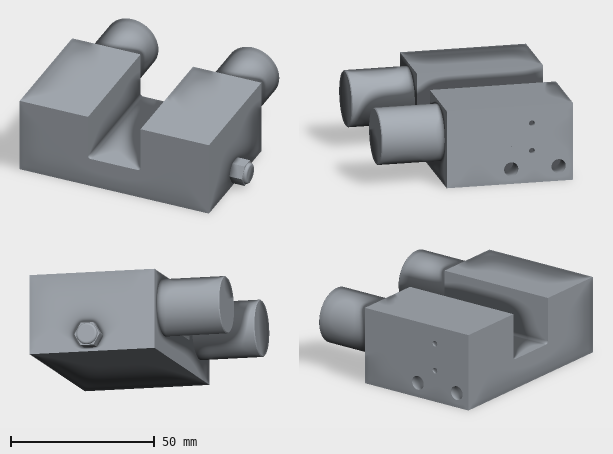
import cadquery as cq
import math

TOTAL_LENGTH = 78.0
TOTAL_DEPTH = 67.5

HOUSING_LENGTH = 72.0
HOUSING_DEPTH = 45.0
HOUSING_HEIGHT = 28.0
SLOT_WIDTH = 20.0
SLOT_FLOOR_Z = 11.0
SLOT_FILLET = 1.0
LEG_WIDTH = (HOUSING_LENGTH - SLOT_WIDTH) / 2

BARREL_DIAMETER = 20.0
BARREL_LENGTH = TOTAL_DEPTH - HOUSING_DEPTH
BARREL_CHAMFER = 0.3
BARREL_X_POSITIONS = (LEG_WIDTH / 2, HOUSING_LENGTH - LEG_WIDTH / 2)
AXIS_Z = 16.5

COVER_DIAMETER = 16.0
COVER_THICKNESS = 2.0
COVER_Y = 14.6
SPANNER_HOLE_DIAMETER = 2.0
SPANNER_HOLE_SPACING = 10.0

PORT_DIAMETER = 5.1
PORT_DEPTH = 7.8
PORT_Z = 5.3
FRONT_PORT_Y = 5.1
REAR_PORT_Y = 22.0

NUT_ACROSS_FLATS = 7.95
NUT_ACROSS_CORNERS = NUT_ACROSS_FLATS / math.cos(math.radians(30))
NUT_THICKNESS = 4.8
NUT_CHAMFER_HEIGHT = 0.15
NUT_SEAT_DIAMETER = 8.2
END_PIECE_DIAMETER = 7.5
END_PIECE_LENGTH = TOTAL_LENGTH - HOUSING_LENGTH - NUT_THICKNESS
END_PIECE_FILLET = 0.8


def x_cylinder(diameter, length, x, y, z):
    """Cylinder along +X that starts at the given point."""
    return cq.Workplane("YZ", origin=(x, y, z)).circle(diameter / 2).extrude(length)


def make_housing():
    block = cq.Workplane("XY").box(HOUSING_LENGTH, HOUSING_DEPTH, HOUSING_HEIGHT, centered=False)
    slot = (
        cq.Workplane("XY", origin=(LEG_WIDTH, 0, SLOT_FLOOR_Z))
        .box(SLOT_WIDTH, HOUSING_DEPTH, HOUSING_HEIGHT - SLOT_FLOOR_Z, centered=False)
        .edges("|Y and <Z")
        .fillet(SLOT_FILLET)
    )
    housing = block.cut(slot)
    housing = housing.cut(x_cylinder(COVER_DIAMETER, COVER_THICKNESS, 0, COVER_Y, AXIS_Z))
    for port_y in (FRONT_PORT_Y, REAR_PORT_Y):
        housing = housing.cut(x_cylinder(PORT_DIAMETER, PORT_DEPTH, 0, port_y, PORT_Z))
    return housing


def make_barrel(x):
    """Round barrel that stands on the +Y face of the housing."""
    return (
        cq.Workplane("XZ", origin=(x, HOUSING_DEPTH, AXIS_Z))
        .circle(BARREL_DIAMETER / 2)
        .extrude(-BARREL_LENGTH)
        .faces(">Y")
        .chamfer(BARREL_CHAMFER)
    )


def make_cover():
    cover = x_cylinder(COVER_DIAMETER, COVER_THICKNESS, 0, COVER_Y, AXIS_Z)
    for side in (-1, 1):
        hole_z = AXIS_Z + side * SPANNER_HOLE_SPACING / 2
        cover = cover.cut(x_cylinder(SPANNER_HOLE_DIAMETER, COVER_THICKNESS, 0, COVER_Y, hole_z))
    return cover


def make_nut():
    """Hexagon with corners toward +Y and -Y; a cone takes off its corners against the housing."""
    hexagon = (
        cq.Workplane("YZ", origin=(HOUSING_LENGTH, REAR_PORT_Y, PORT_Z))
        .polygon(6, NUT_ACROSS_CORNERS)
        .extrude(NUT_THICKNESS)
    )
    chamfer_width = (NUT_ACROSS_CORNERS - NUT_SEAT_DIAMETER) / 2
    envelope = (
        x_cylinder(NUT_ACROSS_CORNERS, NUT_THICKNESS, HOUSING_LENGTH, REAR_PORT_Y, PORT_Z)
        .faces("<X")
        .chamfer(NUT_CHAMFER_HEIGHT, chamfer_width)
    )
    return hexagon.intersect(envelope)


def make_end_piece():
    start_x = HOUSING_LENGTH + NUT_THICKNESS
    return (
        x_cylinder(END_PIECE_DIAMETER, END_PIECE_LENGTH, start_x, REAR_PORT_Y, PORT_Z)
        .faces(">X")
        .edges()
        .fillet(END_PIECE_FILLET)
    )


housing = make_housing()
barrels = [make_barrel(x) for x in BARREL_X_POSITIONS]
cover = make_cover()
nut = make_nut()
end_piece = make_end_piece()

result = cq.Compound.makeCompound(
    [
        housing.val(),
        *[barrel.val() for barrel in barrels],
        cover.val(),
        nut.val(),
        end_piece.val(),
    ]
)